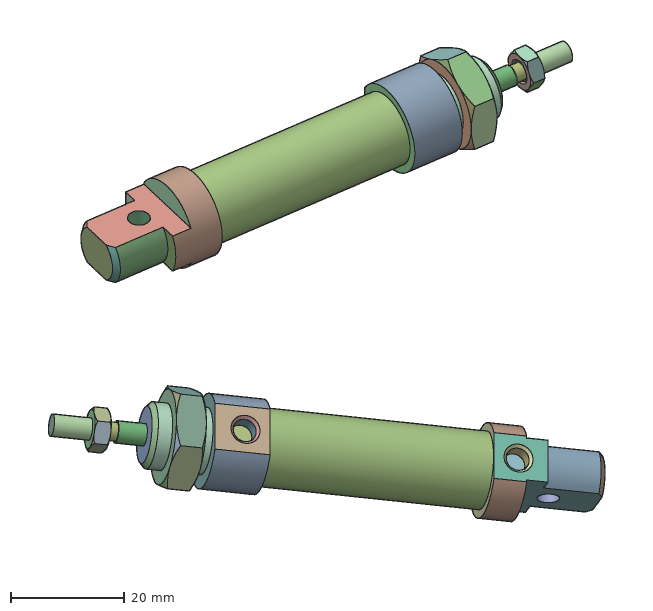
import cadquery as cq
import math


clevis_length = 11.1
clevis_flat_end = 15.0
rear_cap_end = 21.0
head_cap_start = 62.0
head_cap_end = 72.1
nose_end = 83.0

clevis_d = 12.0
clevis_thickness = 8.0
cap_d = 17.0
cap_flat_x = 7.3
barrel_d = 14.0
nose_d = 12.0
nose_chamfer = 0.9
clevis_chamfer = 1.0

pivot_d = 4.0
pivot_y = 9.0
port_d = 4.2
port_mouth_d = 5.3
port_depth = 3.4
rear_port_y = 16.5
head_port_y = 66.5

rod_d = 4.0
rod_tip = 100.0
relief_d = 3.4
relief_start = 88.2

nut_chamfer_angle = 30.0
corners_along_x = 0.0
corners_along_z = 90.0
nose_nut_width = 17.0
nose_nut_start = 74.0
nose_nut_end = 79.5
rod_nut_width = 7.0
rod_nut_start = 90.0
rod_nut_end = 93.0
rod_nut_mouth_d = 4.7

relief_end = rod_nut_start + (rod_nut_mouth_d - rod_d) / 2


def cylinder(diameter, start, end):
    """Round bar on the Y axis between two stations."""
    return cq.Workplane("XZ", origin=(0, start, 0)).circle(diameter / 2).extrude(start - end)


def lead_in(mouth_d, bore_d, mouth_center, direction):
    """45-degree cone that narrows from a hole's mouth to its bore."""
    return cq.Workplane(cq.Solid.makeCone(
        mouth_d / 2, bore_d / 2, (mouth_d - bore_d) / 2,
        pnt=cq.Vector(*mouth_center), dir=cq.Vector(*direction),
    ))


def port(y):
    """Chamfered blind hole that enters the port face along +X."""
    mouth_center = (-cap_flat_x, y, 0)
    bore = cq.Workplane("YZ", origin=mouth_center).circle(port_d / 2).extrude(port_depth)
    return bore.union(lead_in(port_mouth_d, port_d, mouth_center, (1, 0, 0)))


def make_cap(start, end):
    """Round end cap with one flat port face on its -X side."""
    cap = cylinder(cap_d, start, end)
    side = cq.Workplane("XY").box(cap_d, end - start, cap_d, centered=(False, False, True))
    return cap.cut(side.translate((-cap_flat_x - cap_d, start, 0)))


def make_housing():
    """Clevis, rear cap, barrel, head cap and threaded nose."""
    clevis = cylinder(clevis_d, 0, clevis_length).faces("<Y").chamfer(clevis_chamfer)
    rear_cap = make_cap(clevis_length, rear_cap_end)
    rear = clevis.union(rear_cap)

    for side in (1, -1):
        waste = cq.Workplane("XY").box(2 * cap_d, clevis_flat_end, cap_d, centered=(True, False, True))
        rear = rear.cut(waste.translate((0, 0, side * (clevis_thickness + cap_d) / 2)))

    barrel = cylinder(barrel_d, rear_cap_end, head_cap_start)
    head_cap = make_cap(head_cap_start, head_cap_end)
    nose = cylinder(nose_d, head_cap_end, nose_end).faces(">Y").chamfer(nose_chamfer)
    housing = rear.union(barrel).union(head_cap).union(nose)

    pivot_hole = cq.Workplane("XY").center(0, pivot_y).circle(pivot_d / 2)
    housing = housing.cut(pivot_hole.extrude(clevis_thickness / 2, both=True))
    for y in (rear_port_y, head_port_y):
        housing = housing.cut(port(y))
    return housing


def make_rod():
    """Rod that stands on the nose face, with a thread relief that runs into its nut."""
    shank = cylinder(rod_d, nose_end, relief_start)
    relief = cylinder(relief_d, relief_start, relief_end)
    thread = cylinder(rod_d, relief_end, rod_tip)
    return shank.union(relief).union(thread)


def make_nut(width, bore_d, start, end, corner_turn):
    """Hexagon nut with a cone on each face that starts at the inscribed circle."""
    corner_d = width / math.cos(math.pi / 6)
    blank = (
        cq.Workplane("XZ", origin=(0, start, 0))
        .transformed(rotate=(0, 0, corner_turn))
        .polygon(6, corner_d)
        .extrude(start - end)
    )
    face_r = width / 2
    corner_r = corner_d / 2
    drop = (corner_r - face_r) * math.tan(math.radians(nut_chamfer_angle))
    profile = [
        (0, start), (face_r, start), (corner_r, start + drop),
        (corner_r, end - drop), (face_r, end), (0, end),
    ]
    envelope = cq.Workplane("XY").polyline(profile).close().revolve(360, (0, 0, 0), (0, 1, 0))
    return blank.intersect(envelope).cut(cylinder(bore_d, start, end))


housing = make_housing()
rod = make_rod()
nose_nut = make_nut(nose_nut_width, nose_d, nose_nut_start, nose_nut_end, corners_along_z)
rod_nut = make_nut(rod_nut_width, rod_d, rod_nut_start, rod_nut_end, corners_along_x)
rod_nut = rod_nut.cut(lead_in(rod_nut_mouth_d, rod_d, (0, rod_nut_start, 0), (0, 1, 0)))

result = cq.Compound.makeCompound([housing.val(), rod.val(), nose_nut.val(), rod_nut.val()])